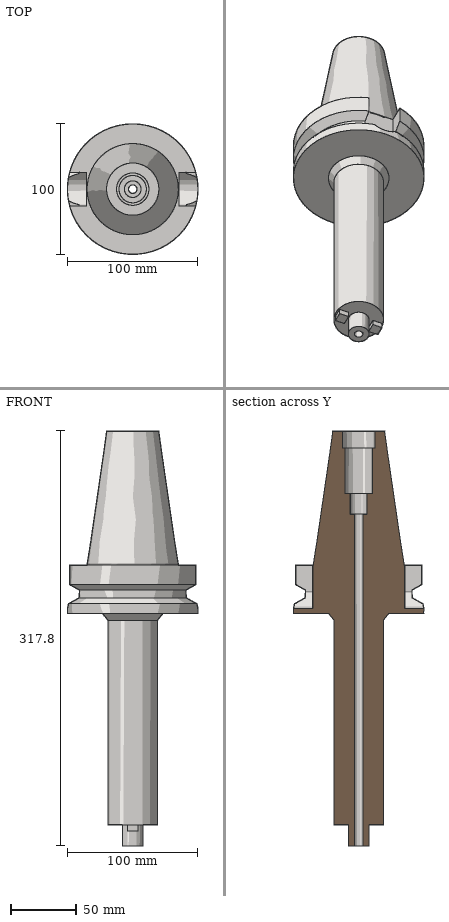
import cadquery as cq

total_height = 317.8
spigot_length = 16.2
shank_top = 173.0
flange_bottom = 178.0
groove_lower_edge = 185.5
groove_floor_bottom = 190.0
groove_floor_top = 196.0
groove_upper_edge = 200.2
flange_top = 215.0
taper_bottom = 216.0

spigot_radius = 8.0
shank_radius = 19.0
shoulder_radius = 23.2
flange_diameter = 100.0
flange_radius = flange_diameter / 2
groove_radius = 43.0
taper_large_radius = 35.0
taper_small_radius = 20.0

slot_width = 25.7
slot_bottom = 182.0
slot_floor_distance = 35.3

key_width = 8.0
key_height = 4.8
key_inner_distance = 10.2
key_outer_distance = 17.8

mouth_radius = 12.5
mouth_depth = 12.7
thread_radius = 10.5
thread_depth = 47.7
relief_radius = 6.5
relief_depth = 63.5
through_radius = 3.2


def make_body():
    """Revolve the spigot, shank, grooved flange and taper about Z."""
    profile = [
        (0, 0),
        (spigot_radius, 0),
        (spigot_radius, spigot_length),
        (shank_radius, spigot_length),
        (shank_radius, shank_top),
        (shoulder_radius, flange_bottom),
        (flange_radius, flange_bottom),
        (flange_radius, groove_lower_edge),
        (groove_radius, groove_floor_bottom),
        (groove_radius, groove_floor_top),
        (flange_radius, groove_upper_edge),
        (flange_radius, flange_top),
        (taper_large_radius, flange_top),
        (taper_large_radius, taper_bottom),
        (taper_small_radius, total_height),
        (0, total_height),
    ]
    return cq.Workplane("YZ").polyline(profile).close().revolve(360, (0, 0), (0, 1))


def make_drive_slot(side):
    """Round-bottomed slot cutter on the +X (side=1) or -X (side=-1) side."""
    half_width = slot_width / 2
    arc_level = slot_bottom + half_width
    return (
        cq.Workplane("YZ", origin=(side * slot_floor_distance, 0, 0))
        .moveTo(-half_width, flange_top)
        .lineTo(-half_width, arc_level)
        .threePointArc((0, slot_bottom), (half_width, arc_level))
        .lineTo(half_width, flange_top)
        .close()
        .extrude(side * flange_radius)
    )


def make_drive_key(side):
    """Rectangular key below the shank on the +Y (side=1) or -Y (side=-1) side."""
    key_length = key_outer_distance - key_inner_distance
    key_center = side * (key_inner_distance + key_outer_distance) / 2
    return (
        cq.Workplane("XY", origin=(0, key_center, spigot_length))
        .rect(key_width, key_length)
        .extrude(-key_height)
    )


def make_bore_step(radius, depth):
    """Cylindrical cutter reaching down from the small end of the taper."""
    return cq.Workplane("XY", origin=(0, 0, total_height)).circle(radius).extrude(-depth)


result = make_body()

for side in (-1, 1):
    result = result.cut(make_drive_slot(side))
    result = result.union(make_drive_key(side))

bore_steps = [
    (mouth_radius, mouth_depth),
    (thread_radius, thread_depth),
    (relief_radius, relief_depth),
    (through_radius, total_height),
]
for radius, depth in bore_steps:
    result = result.cut(make_bore_step(radius, depth))